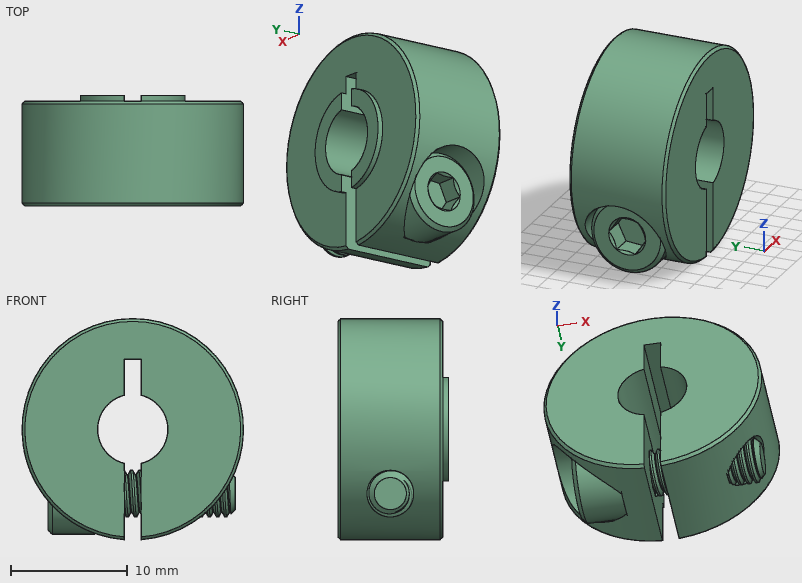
import cadquery as cq
import math

COLLAR_DIAMETER = 18.99
COLLAR_WIDTH = 9.0
COLLAR_CHAMFER = 0.25
BOSS_DIAMETER = 9.0
BOSS_HEIGHT = 0.5
BORE_DIAMETER = 6.0
SLOT_WIDTH = 1.45
SLOT_TOP_Z = 6.0

SCREW_Z = -5.5
HEAD_END_X = -7.27
HEAD_DIAMETER = 7.0
HEAD_LENGTH = 4.0
HEAD_CHAMFER = 0.38
HEAD_CLEARANCE = 0.1
SHANK_LENGTH = 12.05
SHANK_TIP_CHAMFER = 0.63

SOCKET_ACROSS_FLATS = 3.0
SOCKET_DEPTH = 2.0
SOCKET_TURN = 5.0
SOCKET_COUNTERSINK_ANGLE = 45.0

THREAD_DIAMETER = 4.0
THREAD_PITCH = 0.7
THREAD_TURNS = 17
THREAD_START = 1.5 * THREAD_PITCH
CREST_WIDTH = THREAD_PITCH / 4
ROOT_WIDTH = THREAD_PITCH / 8
FLANK_HALF_ANGLE = 30.0
BLANK_EXTRA_TURNS = 3
ENVELOPE_MARGIN = 0.19
GROOVE_OVERSHOOT = 0.05

COLLAR_RADIUS = COLLAR_DIAMETER / 2
THREAD_RADIUS = THREAD_DIAMETER / 2
SEAT_X = HEAD_END_X + HEAD_LENGTH
HEAD_RECESS_DIAMETER = HEAD_DIAMETER + 2 * HEAD_CLEARANCE


def cylinder_along_x(diameter, start_x, end_x):
    """Cylinder on the screw axis between two X positions."""
    return (
        cq.Workplane("YZ", origin=(start_x, 0, SCREW_Z))
        .circle(diameter / 2)
        .extrude(end_x - start_x)
    )


def make_collar():
    """Slotted clamp collar with a raised boss on its +Y face."""
    back_y = COLLAR_WIDTH / 2
    full_width = COLLAR_WIDTH + BOSS_HEIGHT

    def from_back_to_front(sketch_y):
        return cq.Workplane("XZ", origin=(0, sketch_y, 0))

    disc = from_back_to_front(back_y).circle(COLLAR_RADIUS).extrude(COLLAR_WIDTH)
    disc = disc.edges("%CIRCLE").chamfer(COLLAR_CHAMFER)

    boss_y = back_y + BOSS_HEIGHT
    boss = from_back_to_front(boss_y).circle(BOSS_DIAMETER / 2).extrude(BOSS_HEIGHT)
    bore = from_back_to_front(boss_y).circle(BORE_DIAMETER / 2).extrude(full_width)

    slot_height = SLOT_TOP_Z + COLLAR_RADIUS
    slot = (
        from_back_to_front(boss_y)
        .center(0, SLOT_TOP_Z - slot_height / 2)
        .rect(SLOT_WIDTH, slot_height)
        .extrude(full_width)
    )

    head_recess = cylinder_along_x(HEAD_RECESS_DIAMETER, -COLLAR_RADIUS, SEAT_X)
    screw_hole = cylinder_along_x(THREAD_DIAMETER, SEAT_X, COLLAR_RADIUS)
    return disc.union(boss).cut(bore).cut(slot).cut(head_recess).cut(screw_hole)


def make_thread_groove():
    """Helical V-shaped groove around Z that leaves the thread crests on the shank."""
    flank_slope = math.tan(math.radians(FLANK_HALF_ANGLE))
    groove_width = THREAD_PITCH - CREST_WIDTH
    depth = (groove_width - ROOT_WIDTH) / 2 / flank_slope
    half_mouth = groove_width / 2 + GROOVE_OVERSHOOT * flank_slope
    outer_radius = THREAD_RADIUS + GROOVE_OVERSHOOT
    root_radius = THREAD_RADIUS - depth

    helix = cq.Workplane(obj=cq.Wire.makeHelix(THREAD_PITCH, THREAD_TURNS * THREAD_PITCH, THREAD_RADIUS))
    groove = (
        cq.Workplane("XZ")
        .polyline([
            (outer_radius, -half_mouth),
            (root_radius, -ROOT_WIDTH / 2),
            (root_radius, ROOT_WIDTH / 2),
            (outer_radius, half_mouth),
        ])
        .close()
        .sweep(helix, isFrenet=True)
    )
    return groove.translate((0, 0, THREAD_START))


def make_shank():
    """Threaded shank, made upright and then laid along the screw axis."""
    blank_length = SHANK_LENGTH + BLANK_EXTRA_TURNS * THREAD_PITCH
    blank = cq.Workplane("XY").circle(THREAD_RADIUS).extrude(blank_length)
    threaded = blank.cut(make_thread_groove())

    envelope = cq.Workplane("XY").circle(THREAD_RADIUS + ENVELOPE_MARGIN).extrude(SHANK_LENGTH)
    envelope = envelope.faces(">Z").chamfer(SHANK_TIP_CHAMFER + ENVELOPE_MARGIN)
    shank = threaded.intersect(envelope)
    return shank.rotate((0, 0, 0), (0, 1, 0), 90).translate((SEAT_X, 0, SCREW_Z))


def make_socket():
    """Hexagonal socket with a conical countersink out to its corners."""
    corner_radius = SOCKET_ACROSS_FLATS / math.sqrt(3)
    hexagon = (
        cq.Workplane("YZ", origin=(HEAD_END_X, 0, SCREW_Z))
        .polygon(6, 2 * corner_radius)
        .extrude(SOCKET_DEPTH)
        .rotate((0, 0, SCREW_Z), (1, 0, SCREW_Z), SOCKET_TURN)
    )
    cone_depth = corner_radius * math.tan(math.radians(SOCKET_COUNTERSINK_ANGLE))
    countersink = cq.Workplane(
        obj=cq.Solid.makeCone(
            corner_radius, 0, cone_depth, cq.Vector(HEAD_END_X, 0, SCREW_Z), cq.Vector(1, 0, 0)
        )
    )
    return hexagon.union(countersink)


def make_screw():
    """Socket head cap screw with a modelled thread."""
    head = cylinder_along_x(HEAD_DIAMETER, HEAD_END_X, SEAT_X)
    head = head.faces("<X").chamfer(HEAD_CHAMFER)
    return head.cut(make_socket()).union(make_shank())


collar = make_collar()
screw = make_screw()

result = cq.Compound.makeCompound([collar.solids().val(), screw.solids().val()])